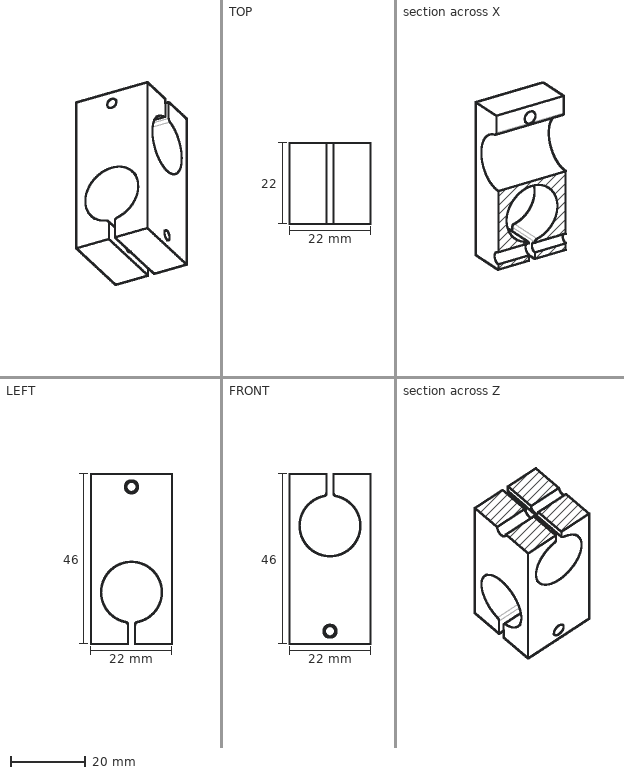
import cadquery as cq

width = 22.0
height = 46.0

bore_diameter = 16.38
bore_inset = 14.05
slot_width = 1.85
slot_corner_radius = 0.85

screw_inset = 3.5
tap_diameter = 2.8
clearance_diameter = 3.5

half_width = width / 2
half_height = height / 2


def cylinder_along_y(diameter, z, y_start, y_end):
    return (
        cq.Workplane("XZ", origin=(0, y_start, z))
        .circle(diameter / 2)
        .extrude(y_start - y_end)
    )


def clamp_cutter():
    """Bore along Y with its slot through the top face."""
    bore_z = half_height - bore_inset
    bore = cylinder_along_y(bore_diameter, bore_z, -half_width, half_width)
    slot = cq.Workplane("XY", origin=(0, 0, bore_z)).box(
        slot_width, width, bore_inset, centered=(True, True, False)
    )
    return bore.union(slot)


def screw_cutter():
    """Hole along Y near the bottom: clearance up to the slot, tapped beyond it."""
    screw_z = screw_inset - half_height
    clearance = cylinder_along_y(clearance_diameter, screw_z, -half_width, 0)
    tapped = cylinder_along_y(tap_diameter, screw_z, -half_width, half_width)
    return clearance.union(tapped)


def other_end(shape):
    """Carry a shape to the opposite end, turning Y features to X."""
    return shape.rotate((0, 0, 0), (1, 0, 0), 180).rotate((0, 0, 0), (0, 0, 1), 90)


def round_slot_corners(body):
    """Round the two edges along Y where the upper slot opens into its bore."""
    corner_rise = ((bore_diameter / 2) ** 2 - (slot_width / 2) ** 2) ** 0.5
    corner_z = half_height - bore_inset + corner_rise
    reach = 0.05
    corners = cq.selectors.BoxSelector(
        (-slot_width, -half_width, corner_z - reach),
        (slot_width, half_width, corner_z + reach),
    )
    return body.edges(corners).edges("|Y").fillet(slot_corner_radius)


block = cq.Workplane("XY").box(width, width, height)
clamp = round_slot_corners(block.cut(clamp_cutter()))
clamp_space = block.cut(clamp)
screw_hole = screw_cutter()

result = (
    clamp.cut(other_end(clamp_space))
    .cut(screw_hole)
    .cut(other_end(screw_hole))
)